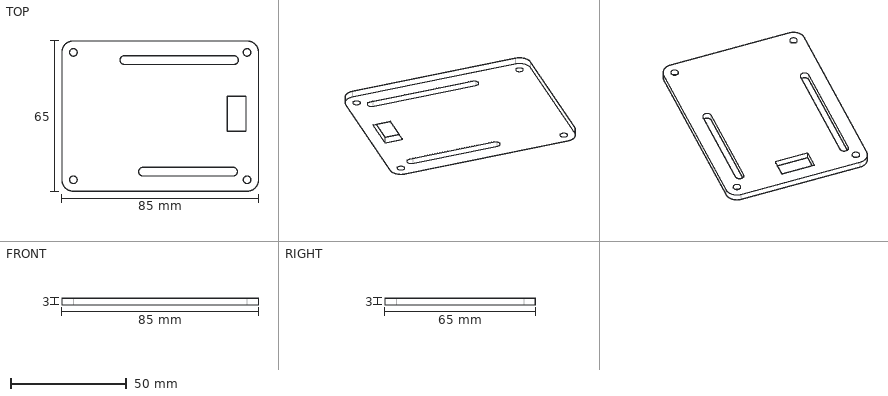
import cadquery as cq

plate_length = 85.0
plate_width = 65.0
plate_thickness = 3.0
corner_radius = 5.0

screw_hole_diameter = 3.2
screw_hole_inset = corner_radius

slot_width = 3.7
rear_slot_left = 25.2
rear_slot_right = 76.2
rear_slot_y = 56.7
front_slot_left = 33.2
front_slot_right = 75.8
front_slot_y = 8.5

window_length = 8.0
window_width = 15.0
window_left = 71.5
window_bottom = 26.0


def make_plate():
    """Flat plate with rounded vertical corners."""
    plate = cq.Workplane("XY").box(plate_length, plate_width, plate_thickness, centered=False)
    return plate.edges("|Z").fillet(corner_radius)


def make_screw_holes():
    """Cutters for the through hole in each corner."""
    centres = [
        (x, y)
        for x in (screw_hole_inset, plate_length - screw_hole_inset)
        for y in (screw_hole_inset, plate_width - screw_hole_inset)
    ]
    holes = cq.Workplane("XY").pushPoints(centres).circle(screw_hole_diameter / 2)
    return holes.extrude(plate_thickness)


def make_slot(left, right, centre_y):
    """Cutter for a round-ended through slot between two X positions."""
    slot = cq.Workplane("XY").center((left + right) / 2, centre_y)
    return slot.slot2D(right - left, slot_width).extrude(plate_thickness)


def make_window():
    """Cutter for the rectangular through window."""
    window = cq.Workplane("XY").box(window_length, window_width, plate_thickness, centered=False)
    return window.translate((window_left, window_bottom, 0))


result = (
    make_plate()
    .cut(make_screw_holes())
    .cut(make_slot(rear_slot_left, rear_slot_right, rear_slot_y))
    .cut(make_slot(front_slot_left, front_slot_right, front_slot_y))
    .cut(make_window())
)